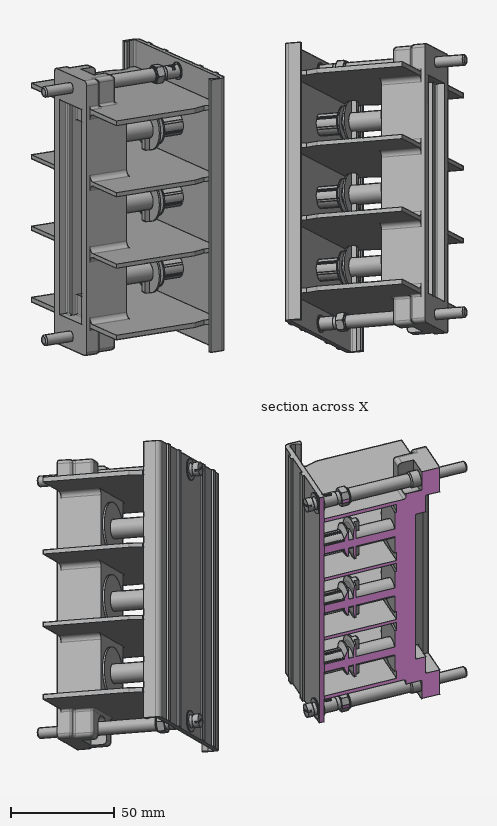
import cadquery as cq

length = 138.2
clearance = 1.4
core_half_width = 15.2
core_depth = 22.7
fin_front = 2.0
fin_pitch = 36.0
end_fin_thickness = 2.3
inner_fin_thickness = 2.1
end_fin_z = 1.5 * fin_pitch
inner_fin_z = 0.5 * fin_pitch
fins = [
    (-end_fin_z, end_fin_thickness),
    (-inner_fin_z, inner_fin_thickness),
    (inner_fin_z, inner_fin_thickness),
    (end_fin_z, end_fin_thickness),
]
fin_half_width = 40.2
fin_waist_half_width = 38.3
fin_waist_y = 52.5
fin_shoulder_y = 46.3
root_radius = 2.8

block_top = 17.7
block_half_width = 12.9
shoulder_y = 7.6
profile_radius = 1.1
end_rounding = 2.1
foot_radius = 1.2
pocket_radius = 6.1
pocket_floor = 9.5

recess_half_width = 10.5
recess_half_length = 54.0
recess_depth = 4.1
lip_half_width = 7.3
channel_half_width = 6.2
lip_depth = 0.4
recess_floor_radius = 0.5
channel_depth = 7.3
well_half_length = 44.0
well_depth = 12.6

post_positions = [-fin_pitch, 0, fin_pitch]
seat_radius = 13.1
seat_thickness = 1.0
post_radius = 4.8
disc_radius = 10.6
disc_face_radius = 8.2
disc_front = 43.8
disc_rim = 44.6
disc_back = 45.2
tab_front = 41.2
tab_width = 2.8
tab_bevel = 0.5
cone_radius = 8.4
cone_front = 47.5
cone_rim = 48.2
cone_back = 50.0
boss_radius = 5.4
boss_groove_count = 6
boss_groove_width = 1.1
boss_groove_depth = 0.5

cover_length = 137.1
cover_half_width = 41.6
cover_inside = 60.5
cover_thickness = 2.5
cover_outside = cover_inside + cover_thickness
cover_corner_radius = 2.5
flange_end = 54.5
hook_start = 57.5
hook_half_width = 38.7
hook_tip_half_width = 40.0
hook_tip_height = 0.5
cover_inner_radius = 0.8
inner_rib_x = 16.6
outer_rib_x = 31.5
rib_positions = [-outer_rib_x, -inner_rib_x, inner_rib_x, outer_rib_x]
rib_width = 3.0
rib_height = 1.0

screw_z = 62.5
screw_positions = [-screw_z, screw_z]
rod_radius = 2.6
rod_tip = -15.2
rod_chamfer = 0.7
shaft_radius = 3.3
collar_radius = 4.0
collar_end = 14.0
collar_taper = 0.7
nut_corner_diameter = 9.5
nut_front = 47.0
nut_back = 51.0
nut_chamfer = 0.4
nut_washer_radius = 3.9
nut_washer_thickness = 0.7
inner_washer_radius = 4.3
inner_washer_thickness = 0.4
outer_washer_radius = 5.3
outer_washer_thickness = 0.5
neck_radius = 2.3
head_front = 65.2
head_back = 68.4
head_slot_width = 0.7
head_slot_depth = 1.8
head_slot_angle = 25.0
relief_end = 52.9
relief_radius = 3.2
keyway_width = 1.8
keyway_depth = 0.8
keyway_start = 55.0
keyway_end = 58.9
keyway_branch_width = 1.4


def block(x_half, y_start, y_end, z_start, z_end):
    """Box centred on X = 0."""
    return cq.Workplane("XY").box(
        2 * x_half, y_end - y_start, z_end - z_start, centered=(True, False, False)
    ).translate((0, y_start, z_start))


def turned(points):
    """Solid of revolution about the Y axis from (radius, y) points."""
    return cq.Workplane("XY").polyline(points).close().revolve(360, (0, 0, 0), (0, 1, 0))


def round_bar(radius, y_start, y_end):
    return turned([(0, y_start), (radius, y_start), (radius, y_end), (0, y_end)])


def fin_plate(z_centre, thickness):
    """Partition whose waisted edges fit inside the hooked flanges of the cover."""
    right_edge = [
        (fin_half_width, fin_front),
        (fin_half_width, fin_shoulder_y),
        (fin_waist_half_width, fin_waist_y),
        (hook_half_width, flange_end + hook_tip_height),
        (fin_half_width, hook_start),
        (fin_half_width, cover_inside),
    ]
    left_edge = [(-x, y) for x, y in reversed(right_edge)]
    plate = (
        cq.Workplane("XY", origin=(0, 0, z_centre - thickness / 2))
        .polyline(right_edge + left_edge)
        .close()
        .extrude(thickness)
    )
    return plate.edges("|Z and >Y").fillet(cover_inner_radius)


def core_with_roots():
    """Middle of the housing, with rounded roots where the partitions leave it."""
    core = block(core_half_width, fin_front, core_depth, -end_fin_z, end_fin_z)
    reach = core_half_width + 2 * root_radius
    for z, thickness in fins:
        core = core.union(block(reach, fin_front, core_depth, z - thickness / 2, z + thickness / 2))
    corners = core.edges("|Y").filter(lambda e: abs(abs(e.Center().x) - core_half_width) < 0.01)
    core = corners.fillet(root_radius)
    return core.union(block(core_half_width, 0, fin_front, -end_fin_z, end_fin_z))


def end_profile():
    """Stepped outline of an end block, from the partition front to the block top."""
    return [
        (-core_half_width, fin_front),
        (core_half_width, fin_front),
        (core_half_width, shoulder_y),
        (block_half_width, shoulder_y),
        (block_half_width, block_top),
        (-block_half_width, block_top),
        (-block_half_width, shoulder_y),
        (-core_half_width, shoulder_y),
    ]


def is_behind_front(edge):
    return edge.Center().y > fin_front + 0.01


def is_within_core(edge):
    return abs(edge.Center().x) < core_half_width + 0.01 and edge.Center().y < block_top + 0.01


def end_block():
    """Stepped block at the +Z end, flaring out where it stands on the outermost partition."""
    seat_z = end_fin_z + end_fin_thickness / 2
    solid = (
        cq.Workplane("XY", origin=(0, 0, seat_z))
        .polyline(end_profile())
        .close()
        .extrude(length / 2 - seat_z)
    )
    reach = core_half_width + 2 * foot_radius
    seat = block(reach, fin_front, block_top + 2 * foot_radius, seat_z - end_fin_thickness, seat_z)
    solid = solid.union(seat)
    solid = solid.faces(">Z").edges().filter(is_behind_front).fillet(end_rounding)
    uprights = solid.edges("|Z").filter(
        lambda e: e.Center().z > seat_z and is_behind_front(e) and is_within_core(e)
    )
    solid = uprights.fillet(profile_radius)
    foot = solid.edges("#Z").filter(
        lambda e: abs(e.Center().z - seat_z) < 0.01 and is_behind_front(e) and is_within_core(e)
    )
    solid = foot.fillet(foot_radius)

    front = block(core_half_width, 0, fin_front, seat_z - end_fin_thickness, length / 2)
    solid = solid.union(front.edges("|Y and >Z").fillet(end_rounding))
    slot_cut = (
        cq.Workplane("XZ", origin=(0, pocket_floor, screw_z))
        .circle(pocket_radius)
        .extrude(pocket_floor - block_top - clearance)
        .union(block(pocket_radius, pocket_floor, block_top + clearance, screw_z, length / 2 + clearance))
    )
    return solid.cut(slot_cut)


def post():
    """Post at Z = 0 with its seat, tabbed disc, flared collar and grooved boss against the cover."""
    profile = [
        (0, core_depth),
        (seat_radius, core_depth),
        (seat_radius, core_depth + seat_thickness),
        (post_radius, core_depth + seat_thickness),
        (post_radius, disc_front),
        (disc_radius, disc_front),
        (disc_radius, disc_rim),
        (disc_face_radius, disc_back),
        (post_radius, disc_back),
        (post_radius, cone_front),
        (cone_radius, cone_front),
        (cone_radius, cone_rim),
        (boss_radius, cone_back),
        (boss_radius, cover_inside),
        (0, cover_inside),
    ]
    solid = turned(profile)
    tabs = turned([
        (0, tab_front),
        (disc_radius - tab_bevel, tab_front),
        (disc_radius, tab_front + tab_bevel),
        (disc_radius, disc_front),
        (0, disc_front),
    ])
    tabs = tabs.intersect(block(tab_width / 2, tab_front, disc_front, -disc_radius, disc_radius))
    solid = solid.union(tabs)
    groove = block(
        boss_groove_width / 2,
        cone_back,
        cover_inside,
        boss_radius - boss_groove_depth,
        boss_radius + clearance,
    )
    for i in range(boss_groove_count):
        solid = solid.cut(groove.rotate((0, 0, 0), (0, 1, 0), i * 360 / boss_groove_count))
    return solid


def floor_rounded(x_half, z_half, depth):
    """Rectangular cut from the front face with a rounded edge around its floor."""
    cut = block(x_half, 0, depth, -z_half, z_half)
    return cut.faces(">Y").edges().fillet(recess_floor_radius)


def front_recess():
    """Long recess with a ledge, a bevelled lip, a channel and a deeper well."""
    recess = floor_rounded(recess_half_width, recess_half_length, recess_depth)
    channel = floor_rounded(channel_half_width, recess_half_length, channel_depth)
    well = floor_rounded(channel_half_width, well_half_length, well_depth)
    lip_half_length = recess_half_length - recess_floor_radius
    lip = (
        cq.Workplane("XY", origin=(0, 0, -lip_half_length))
        .polyline([
            (-lip_half_width, recess_depth),
            (lip_half_width, recess_depth),
            (channel_half_width, recess_depth + lip_depth),
            (-channel_half_width, recess_depth + lip_depth),
        ])
        .close()
        .extrude(2 * lip_half_length)
    )
    return recess.union(channel).union(well).union(lip)


def make_housing():
    body = core_with_roots()
    for z, thickness in fins:
        body = body.union(fin_plate(z, thickness))
    upper = end_block()
    body = body.union(upper).union(upper.mirror("XY"))
    body = body.cut(front_recess())
    for z in post_positions:
        body = body.union(post().translate((0, 0, z)))
    for z in screw_positions:
        body = body.cut(round_bar(rod_radius, 0, pocket_floor).translate((0, 0, z)))
    return body


def make_cover():
    """Channel-shaped cover with hooked flanges and four long ribs."""
    outline = [
        (cover_half_width, flange_end),
        (cover_half_width, cover_outside),
        (-cover_half_width, cover_outside),
        (-cover_half_width, flange_end),
        (-hook_tip_half_width, flange_end),
        (-hook_half_width, flange_end + hook_tip_height),
        (-fin_half_width, hook_start),
        (-fin_half_width, cover_inside),
        (fin_half_width, cover_inside),
        (fin_half_width, hook_start),
        (hook_half_width, flange_end + hook_tip_height),
        (hook_tip_half_width, flange_end),
    ]
    cover = (
        cq.Workplane("XY", origin=(0, 0, -cover_length / 2))
        .polyline(outline)
        .close()
        .extrude(cover_length)
    )
    cover = cover.edges("|Z and >Y").fillet(cover_corner_radius)
    inner_corners = cover.edges("|Z").filter(lambda e: abs(e.Center().y - cover_inside) < 0.01)
    cover = inner_corners.fillet(cover_inner_radius)
    rib_top = cover_outside + rib_height
    rib = block(rib_width / 2, cover_outside, rib_top, -cover_length / 2, cover_length / 2)
    for x in rib_positions:
        cover = cover.union(rib.translate((x, 0, 0)))
    for z in screw_positions:
        cover = cover.cut(round_bar(shaft_radius, cover_inside, cover_outside).translate((0, 0, z)))
    return cover


def hex_nut():
    corner_radius = nut_corner_diameter / 2
    hexagon = (
        cq.Workplane("XZ", origin=(0, nut_front, 0))
        .polygon(6, nut_corner_diameter)
        .extrude(nut_front - nut_back)
    )
    bevelled = turned([
        (0, nut_front),
        (corner_radius - nut_chamfer, nut_front),
        (corner_radius, nut_front + nut_chamfer),
        (corner_radius, nut_back - nut_chamfer),
        (corner_radius - nut_chamfer, nut_back),
        (0, nut_back),
    ])
    return hexagon.intersect(bevelled)


def keyway():
    """Bayonet keyway on the +Z side of the shaft: an axial slot with a branch towards +X."""
    floor_z = shaft_radius - keyway_depth
    middle_y = (keyway_start + keyway_end) / 2
    axial = (
        cq.Workplane("XY", origin=(0, middle_y, floor_z))
        .slot2D(keyway_end - keyway_start, keyway_width, 90)
        .extrude(shaft_radius)
    )
    branch = (
        cq.Workplane("XY")
        .box(shaft_radius, keyway_branch_width, shaft_radius, centered=(False, True, False))
        .translate((0, middle_y, shaft_radius / 2))
    )
    core = round_bar(floor_z, keyway_start, keyway_end)
    return axial.union(branch).cut(core)


def make_screw():
    """Screw along Y at Z = 0, with its collar, nut, washers and slotted head as one solid."""
    washer_top = cover_outside + outer_washer_thickness
    screw = turned([
        (0, rod_tip),
        (rod_radius - rod_chamfer, rod_tip),
        (rod_radius, rod_tip + rod_chamfer),
        (rod_radius, pocket_floor),
        (collar_radius, pocket_floor),
        (collar_radius, collar_end),
        (shaft_radius, collar_end + collar_taper),
        (shaft_radius, nut_front - nut_washer_thickness),
        (nut_washer_radius, nut_front - nut_washer_thickness),
        (nut_washer_radius, nut_front),
        (relief_radius, nut_front),
        (relief_radius, relief_end),
        (shaft_radius, relief_end),
        (shaft_radius, cover_inside - inner_washer_thickness),
        (inner_washer_radius, cover_inside - inner_washer_thickness),
        (inner_washer_radius, cover_inside),
        (shaft_radius, cover_inside),
        (shaft_radius, cover_outside),
        (outer_washer_radius, cover_outside),
        (outer_washer_radius, washer_top),
        (shaft_radius, washer_top),
        (neck_radius, head_front),
        (shaft_radius, head_front),
        (shaft_radius, head_back),
        (0, head_back),
    ])
    screw = screw.union(hex_nut())
    slot = block(
        shaft_radius + clearance,
        head_back - head_slot_depth,
        head_back,
        -head_slot_width / 2,
        head_slot_width / 2,
    )
    screw = screw.cut(slot.rotate((0, 0, 0), (0, 1, 0), head_slot_angle))
    return screw.cut(keyway())


housing = make_housing()
cover = make_cover()
screws = []
for z in screw_positions:
    screws.append(make_screw().translate((0, 0, z)))

result = cq.Compound.makeCompound([housing.val(), cover.val(), *[screw.val() for screw in screws]])